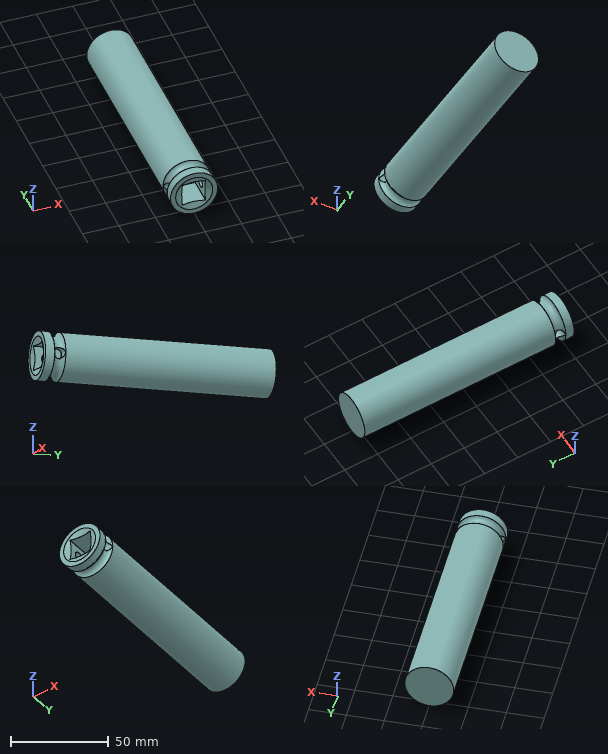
import cadquery as cq
import math

length = 127.0
outer_diameter = 26.0
drive_face_y = -length / 2

collar_length = 5.1
groove_width = 6.1
groove_depth = 2.4
groove_center_y = drive_face_y + collar_length + groove_width / 2
pin_hole_diameter = 6.0

square_side = 12.7
square_depth = 16.0
lead_in_diameter = 20.3
lead_in_angle = 70.0


def make_body():
    """Revolve the outer outline, including the arc-shaped groove."""
    radius = outer_diameter / 2
    groove_start_y = groove_center_y - groove_width / 2
    groove_end_y = groove_center_y + groove_width / 2
    return (
        cq.Workplane("XY")
        .moveTo(0, drive_face_y)
        .lineTo(radius, drive_face_y)
        .lineTo(radius, groove_start_y)
        .threePointArc((radius - groove_depth, groove_center_y), (radius, groove_end_y))
        .lineTo(radius, drive_face_y + length)
        .lineTo(0, drive_face_y + length)
        .close()
        .revolve(360, (0, 0, 0), (0, 1, 0))
    )


def make_square_recess():
    return cq.Workplane("XY").box(square_side, square_depth, square_side).translate(
        (0, drive_face_y + square_depth / 2, 0)
    )


def make_lead_in():
    """Cone narrowing from the drive face to the flats of the square."""
    mouth_radius = lead_in_diameter / 2
    end_radius = square_side / 2
    depth = (mouth_radius - end_radius) / math.tan(math.radians(lead_in_angle))
    start = cq.Vector(0, drive_face_y, 0)
    return cq.Workplane(cq.Solid.makeCone(mouth_radius, end_radius, depth, start, cq.Vector(0, 1, 0)))


def make_pin_hole():
    return (
        cq.Workplane("YZ")
        .center(groove_center_y, 0)
        .circle(pin_hole_diameter / 2)
        .extrude(outer_diameter / 2, both=True)
    )


result = make_body().cut(make_square_recess()).cut(make_lead_in()).cut(make_pin_hole())